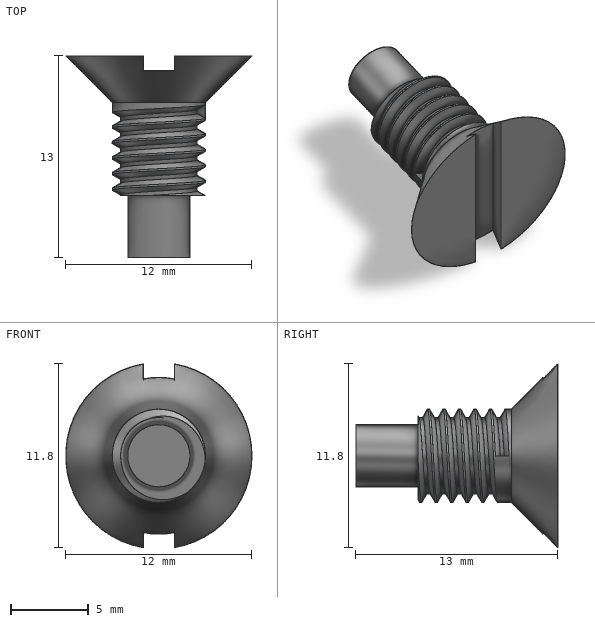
import cadquery as cq
import math

head_diameter = 12.0
thread_diameter = 6.0
point_diameter = 4.0
thread_length = 6.0
point_length = 4.0
head_height = (head_diameter - thread_diameter) / 2

slot_width = 2.0
slot_depth = 0.95

pitch = 1.0
flank_angle = math.radians(30)
crest_flat = pitch / 8
root_flat = pitch / 4
groove_start = 0.58
cutter_overshoot = 0.05

thread_radius = thread_diameter / 2
groove_mouth = pitch - crest_flat
thread_depth = (groove_mouth - root_flat) / 2 / math.tan(flank_angle)
root_radius = thread_radius - thread_depth
thread_start = head_height
point_start = thread_start + thread_length


def make_head():
    """Countersunk cone with a straight slot across its flat face."""
    profile = [
        (0, 0),
        (head_diameter / 2, 0),
        (thread_radius, head_height),
        (0, head_height),
    ]
    cone = cq.Workplane("XZ").polyline(profile).close().revolve(360, (0, 0, 0), (0, 1, 0))
    slot = cq.Workplane("XY").rect(slot_width, 2 * head_diameter).extrude(slot_depth)
    return cone.cut(slot)


def make_groove():
    """Right-handed trapezoidal helix that starts at +X and runs out past the thread end."""
    outer_radius = thread_radius + cutter_overshoot
    half_mouth = groove_mouth / 2 + cutter_overshoot * math.tan(flank_angle)
    half_root = root_flat / 2
    centre = thread_start + groove_start
    profile = [
        (root_radius, centre - half_root),
        (outer_radius, centre - half_mouth),
        (outer_radius, centre + half_mouth),
        (root_radius, centre + half_root),
    ]
    path = cq.Wire.makeHelix(pitch, thread_length, root_radius, cq.Vector(0, 0, centre))
    return cq.Workplane("XZ").polyline(profile).close().sweep(cq.Workplane(path), isFrenet=True)


def make_thread():
    """Cylindrical shank with the thread groove cut into it."""
    shank = cq.Workplane("XY").workplane(offset=thread_start).circle(thread_radius).extrude(thread_length)
    return shank.cut(make_groove())


def make_point():
    """Plain cylinder beyond the thread."""
    return cq.Workplane("XY").workplane(offset=point_start).circle(point_diameter / 2).extrude(point_length)


screw = make_head().union(make_thread()).union(make_point())
result = screw.rotate((0, 0, 0), (1, 0, 0), 90).solids()